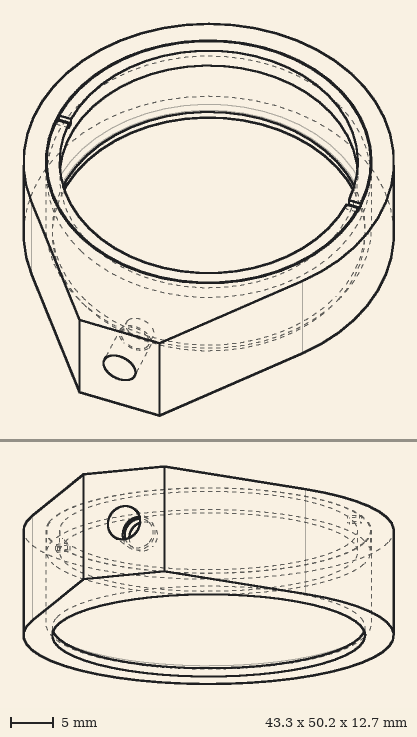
import cadquery as cq
import math

TOTAL_LENGTH = 50.2
HEIGHT = 12.7
OUTER_RADIUS = 21.65
FOOT_WIDTH = 10.05

BORE_RADIUS = 19.05
LIP_RADIUS = 18.3
LIP_HEIGHT = 1.0
SEAT_FILLET = 0.5

THREAD_DIAMETER = 4.0
THREAD_DEPTH = 5.0
DRILL_DIAMETER = 3.5
DRILL_DEPTH = 6.55
DRILL_POINT_ANGLE = 118.0

RING_CLEARANCE = 0.1
RING_RADIUS = BORE_RADIUS - RING_CLEARANCE
RING_INNER_RADIUS = 17.45
RING_HEIGHT = 2.6
SLOT_WIDTH = 0.75
SLOT_DEPTH = 0.75

FOOT_Y = OUTER_RADIUS - TOTAL_LENGTH


def housing_blank():
    """Extruded outline with the rim centred on the origin and the foot towards -Y."""
    half_foot = FOOT_WIDTH / 2
    corner_distance = math.hypot(half_foot, FOOT_Y)
    tangent_angle = math.atan2(FOOT_Y, half_foot) + math.acos(OUTER_RADIUS / corner_distance)
    tangent_x = OUTER_RADIUS * math.cos(tangent_angle)
    tangent_y = OUTER_RADIUS * math.sin(tangent_angle)
    return (
        cq.Workplane("XY")
        .moveTo(-half_foot, FOOT_Y)
        .lineTo(half_foot, FOOT_Y)
        .lineTo(tangent_x, tangent_y)
        .threePointArc((0, OUTER_RADIUS), (-tangent_x, tangent_y))
        .close()
        .extrude(HEIGHT)
    )


def bore_cutter():
    """Through opening at the lip, and the wider bore with a rounded bottom edge."""
    opening = cq.Workplane("XY").circle(LIP_RADIUS).extrude(HEIGHT)
    bore = (
        cq.Workplane("XY", origin=(0, 0, LIP_HEIGHT))
        .circle(BORE_RADIUS)
        .extrude(HEIGHT - LIP_HEIGHT)
        .faces("<Z")
        .edges()
        .fillet(SEAT_FILLET)
    )
    return opening.union(bore)


def mounting_hole_cutter():
    """Half profile of the stepped blind hole, revolved about its axis along Y."""
    thread_radius = THREAD_DIAMETER / 2
    drill_radius = DRILL_DIAMETER / 2
    point_length = drill_radius / math.tan(math.radians(DRILL_POINT_ANGLE / 2))
    return (
        cq.Workplane("XY", origin=(0, FOOT_Y, HEIGHT / 2))
        .polyline([
            (0, 0),
            (thread_radius, 0),
            (thread_radius, THREAD_DEPTH),
            (drill_radius, THREAD_DEPTH),
            (drill_radius, DRILL_DEPTH),
            (0, DRILL_DEPTH + point_length),
        ])
        .close()
        .revolve(360, (0, 0, 0), (0, 1, 0))
    )


def make_housing():
    return housing_blank().cut(bore_cutter()).cut(mounting_hole_cutter())


def make_retaining_ring():
    """Plain ring with one straight cut across its top that leaves two opposite slots."""
    ring = (
        cq.Workplane("XY", origin=(0, 0, HEIGHT - RING_HEIGHT))
        .circle(RING_RADIUS)
        .circle(RING_INNER_RADIUS)
        .extrude(RING_HEIGHT)
    )
    slots = (
        cq.Workplane("XY", origin=(0, 0, HEIGHT - SLOT_DEPTH))
        .rect(2 * RING_RADIUS, SLOT_WIDTH)
        .extrude(SLOT_DEPTH)
    )
    return ring.cut(slots)


housing = make_housing()
retaining_ring = make_retaining_ring()

result = cq.Compound.makeCompound([housing.val(), retaining_ring.val()])